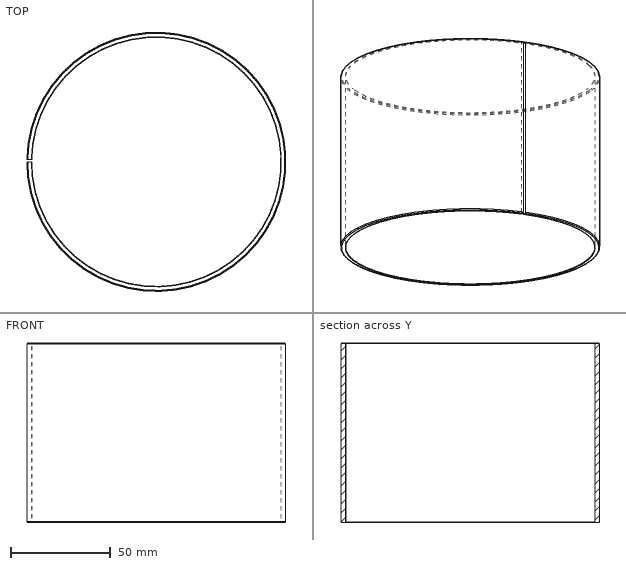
import cadquery as cq

outer_diameter = 130.0
wall_thickness = 2.5
height = 90.0
outer_chamfer = 0.5
inner_chamfer = 0.2
slit_angle = 1.0

outer_radius = outer_diameter / 2
inner_radius = outer_radius - wall_thickness
sweep_angle = 360.0 - slit_angle


def make_wall_section():
    """Cross-section of the -X wall in the XZ plane, with chamfered rims."""
    return (
        cq.Workplane("XZ")
        .moveTo(-outer_radius, outer_chamfer)
        .lineTo(-outer_radius, height - outer_chamfer)
        .lineTo(-outer_radius + outer_chamfer, height)
        .lineTo(-inner_radius - inner_chamfer, height)
        .lineTo(-inner_radius, height - inner_chamfer)
        .lineTo(-inner_radius, inner_chamfer)
        .lineTo(-inner_radius - inner_chamfer, 0)
        .lineTo(-outer_radius + outer_chamfer, 0)
        .close()
    )


def make_split_sleeve():
    """Sweep the wall about Z, leaving a narrow slit on the +Y side of the start plane."""
    return make_wall_section().revolve(sweep_angle, (0, 0), (0, 1))


result = make_split_sleeve()